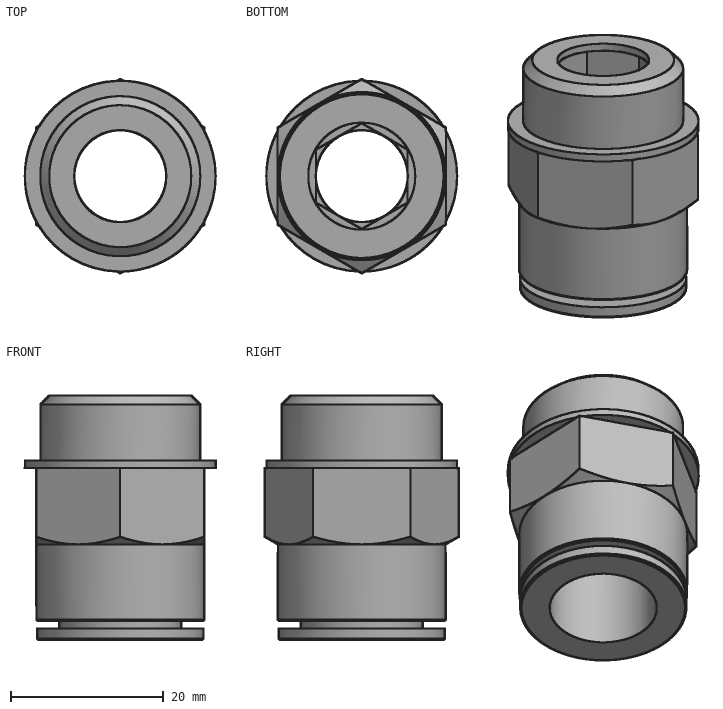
import cadquery as cq
import math

collar_top = 1.5
body_bottom = 2.5
hex_bottom = 12.5
hex_top = 22.5
flange_top = 23.5
total_height = 32.0

collar_diameter = 21.8
neck_diameter = 16.0
body_diameter = 22.0
hex_across_flats = body_diameter
hex_bevel_angle = 30.0
flange_diameter = 25.0
spigot_diameter = 20.95

spigot_chamfer = 1.2
small_chamfer = 0.2

mouth_diameter = 12.0
mouth_depth = 1.0
socket_across_flats = mouth_diameter
tube_bore_diameter = 14.0
tube_bore_top = hex_top


def cylinder(diameter, bottom, top):
    return cq.Workplane("XY").workplane(offset=bottom).circle(diameter / 2).extrude(top - bottom)


def corner_diameter(across_flats):
    return across_flats / math.cos(math.radians(30))


def hexagon(across_flats, bottom, top):
    """Hexagonal prism with flats facing +X and -X."""
    prism = (
        cq.Workplane("XY")
        .workplane(offset=bottom)
        .polygon(6, corner_diameter(across_flats))
        .extrude(top - bottom)
    )
    return prism.rotate((0, 0, 0), (0, 0, 1), 30)


def beveled_hexagon():
    """Wrench hexagon whose lower corners are trimmed by a cone."""
    inner_radius = hex_across_flats / 2
    outer_radius = 2 * hex_across_flats
    cone_rise = (outer_radius - inner_radius) * math.tan(math.radians(hex_bevel_angle))
    cone_top = hex_bottom + cone_rise
    envelope = (
        cq.Workplane("XZ")
        .moveTo(0, hex_bottom)
        .lineTo(inner_radius, hex_bottom)
        .lineTo(outer_radius, cone_top)
        .lineTo(0, cone_top)
        .close()
        .revolve(360, (0, 0, 0), (0, 1, 0))
    )
    return hexagon(hex_across_flats, hex_bottom, hex_top).intersect(envelope)


collar = cylinder(collar_diameter, 0, collar_top).faces("<Z").edges().chamfer(small_chamfer)
neck = cylinder(neck_diameter, collar_top, body_bottom)

body = cylinder(body_diameter, body_bottom, hex_bottom).faces("<Z").edges().chamfer(small_chamfer)
flange = cylinder(flange_diameter, hex_top, flange_top)
spigot = cylinder(spigot_diameter, flange_top, total_height).faces(">Z").edges().chamfer(spigot_chamfer)

outside = collar.union(neck).union(body).union(beveled_hexagon()).union(flange).union(spigot)

tube_bore = cylinder(tube_bore_diameter, 0, tube_bore_top)
socket = hexagon(socket_across_flats, tube_bore_top, total_height - mouth_depth)
mouth = cylinder(mouth_diameter, total_height - mouth_depth, total_height)

result = outside.cut(tube_bore).cut(socket).cut(mouth)